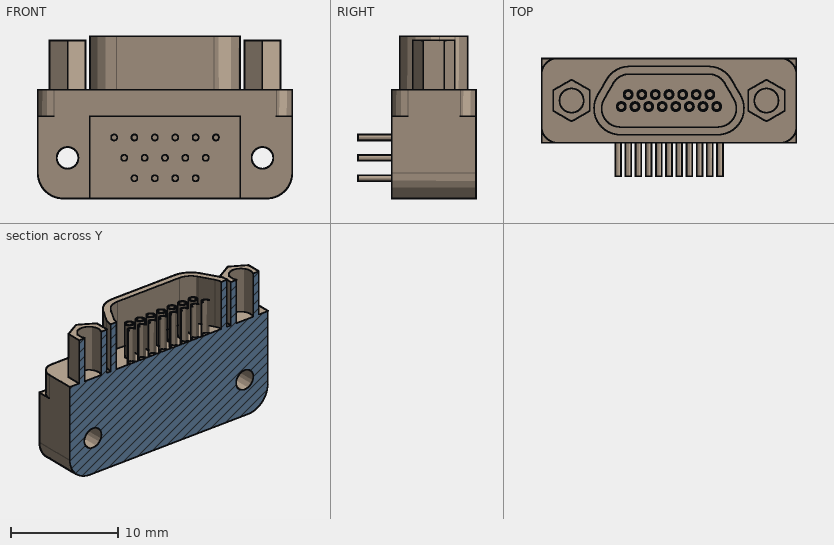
import cadquery as cq
import math

body_length = 23.75
body_depth = 7.88
body_height = 10.16
bottom_radius = 2.4
step_height = 2.5
step_radius = 1.5
step_base = body_height - step_height

mount_spacing = 18.17
mount_diameter = 2.0
hexagon_sides = 6
nut_flats = 3.37
nut_height = 4.58
nut_bore = 2.25

shell_height = 4.99
shell_length = 14.0
shell_depth = 6.36
shell_radius = 2.45
shell_wall = 0.71
side_slope = math.radians(30)

contact_height = 3.52
contact_diameter = 0.85
contact_bore = 0.65
contact_row_gap = 1.12
long_contact_row = 8
short_contact_row = 7
long_row_span = 8.88
contact_pitch = long_row_span / (long_contact_row - 1)

recess_depth = 0.88
recess_height = step_base
recess_length = shell_length
pin_diameter = 0.57
pin_reach = 3.14
pin_pitch = 1.9
pin_rows = (4, 5, 6)
axis_height = 3.8

front_y = -body_depth / 2


def centred_row(count, pitch):
    """Evenly spaced X places, centred on zero."""
    return [(i - (count - 1) / 2) * pitch for i in range(count)]


def make_body():
    lower = (
        cq.Workplane("XY")
        .box(body_length, body_depth, step_base, centered=(True, True, False))
        .edges("|Y and <Z")
        .fillet(bottom_radius)
    )
    upper = (
        cq.Workplane("XY", origin=(0, 0, step_base))
        .box(body_length, body_depth, step_height, centered=(True, True, False))
        .edges("|Z")
        .fillet(step_radius)
    )
    return lower.union(upper)


def make_recess():
    """Pocket in the front face, open at the bottom."""
    return cq.Workplane("XY", origin=(0, front_y + recess_depth / 2, 0)).box(
        recess_length, recess_depth, recess_height, centered=(True, True, False)
    )


def make_mount_holes():
    return (
        cq.Workplane("XZ", origin=(0, -front_y, axis_height))
        .pushPoints([(x, 0) for x in centred_row(2, mount_spacing)])
        .circle(mount_diameter / 2)
        .extrude(body_depth)
    )


def make_nuts():
    """Hexagonal nuts with two flats facing along X."""
    across_corners = nut_flats / math.cos(math.pi / hexagon_sides)
    places = [(0, x) for x in centred_row(2, mount_spacing)]
    turned = cq.Plane(origin=(0, 0, body_height), xDir=(0, 1, 0), normal=(0, 0, 1))
    nuts = (
        cq.Workplane(turned)
        .pushPoints(places)
        .polygon(hexagon_sides, across_corners)
        .extrude(nut_height)
    )
    bores = cq.Workplane(turned).pushPoints(places).circle(nut_bore / 2).extrude(nut_height)
    return nuts.cut(bores)


def make_shell():
    """Tube around the contacts, offset from the trapezoid of its corner arc centres."""
    centre_y = shell_depth / 2 - shell_radius
    long_half = shell_length / 2 - shell_radius
    short_half = long_half - 2 * centre_y * math.tan(side_slope)
    corner_centres = [
        (-long_half, -centre_y),
        (long_half, -centre_y),
        (short_half, centre_y),
        (-short_half, centre_y),
    ]

    def prism(radius):
        base = cq.Workplane("XY", origin=(0, 0, body_height))
        return base.polyline(corner_centres).close().offset2D(radius, "arc").extrude(shell_height)

    return prism(shell_radius).cut(prism(shell_radius - shell_wall))


def make_contacts():
    """Two staggered rows of hollow contacts."""
    places = [(x, -contact_row_gap / 2) for x in centred_row(long_contact_row, contact_pitch)]
    places += [(x, contact_row_gap / 2) for x in centred_row(short_contact_row, contact_pitch)]
    return (
        cq.Workplane("XY", origin=(0, 0, body_height))
        .pushPoints(places)
        .circle(contact_diameter / 2)
        .circle(contact_bore / 2)
        .extrude(contact_height)
    )


def make_pins():
    """Three staggered rows of pins, rooted in the recess floor."""
    places = []
    for row, count in enumerate(pin_rows):
        height = axis_height + (row - len(pin_rows) // 2) * pin_pitch
        places += [(x, height) for x in centred_row(count, pin_pitch)]
    return (
        cq.Workplane("XZ", origin=(0, front_y + recess_depth, 0))
        .pushPoints(places)
        .circle(pin_diameter / 2)
        .extrude(recess_depth + pin_reach)
    )


result = (
    make_body()
    .cut(make_recess())
    .cut(make_mount_holes())
    .union(make_nuts())
    .union(make_shell())
    .union(make_contacts())
    .union(make_pins())
)